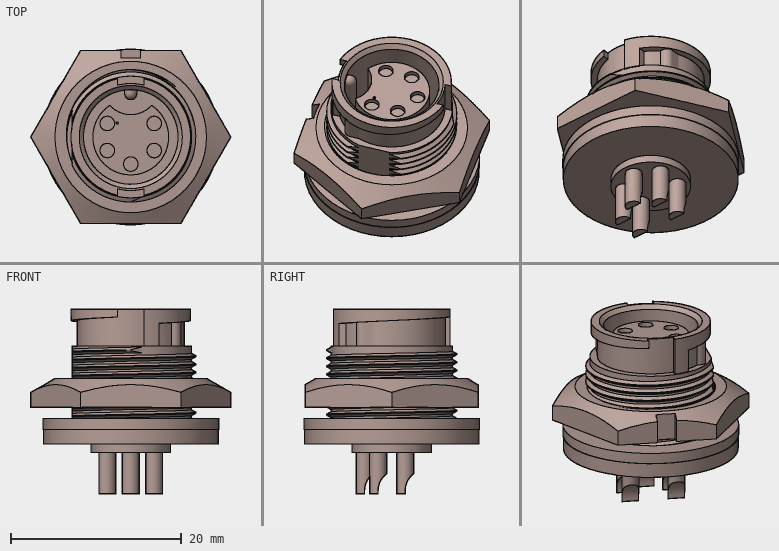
import cadquery as cq
import math


COLLAR_TOP = 12.80
INSERT_TOP = 11.25
THREAD_TOP = 8.46
NUT_TOP = 4.70
NUT_BOTTOM = 1.30
FLANGE_STEP = -1.28
FLANGE_BOTTOM = -3.00
HUB_BOTTOM = -4.00
CONTACT_BOTTOM = -8.84

FLANGE_RADIUS = 10.31
FLANGE_REAR_RADIUS = 10.25
HUB_RADIUS = 4.68

THREAD_PITCH = 0.945
THREAD_ROOT_RADIUS = 7.13
THREAD_CREST_RADIUS = 7.62
THREAD_CREST_WIDTH = THREAD_PITCH / 8
FLANK_SLOPE = math.tan(math.radians(30))
THREAD_END_HEIGHT = 7.99
THREAD_TURNS = 9
RUNOUT_LENGTH = 1.27
SHELL_FLAT_X = -6.87

COLLAR_RADIUS = 7.00
GROOVE_RADIUS = 6.27
ENTRY_HALF_WIDTH = 1.55
GROOVE_END_X = 3.29
RAMP_START_HEIGHT = 11.88
RAMP_END_HEIGHT = 11.12
DETENT_HALF_X = 5.90
DETENT_HALF_Y = 4.10
DETENT_FILLET = 0.82

CAVITY_RADIUS = 5.54
CAVITY_CHAMFER = 0.50
CAVITY_FLOOR = NUT_TOP
INSERT_RADIUS = 4.44
SCOOP_RADIUS = 3.30
SCOOP_CENTRE_Y = 5.92
KEY_RADIUS = 0.71
KEY_CENTRE_Y = 5.08
KEY_DOME_HEIGHT = 11.20

CONTACT_CIRCLE_RADIUS = 3.17
CONTACT_ANGLES = (30, 150, 210, 270, 330)
SOCKET_RADIUS = 0.85
SOCKET_DEPTH = 0.55
TAIL_RADIUS = 1.00
CUP_CUT_RADIUS = 2.50
CUP_CUT_HEIGHT = -8.47
MARK_X = -1.59
MARK_Y = 1.64
MARK_RADIUS = 0.13
MARK_DEPTH = 0.10

NUT_ACROSS_CORNERS = 23.46
NUT_FACE_RADIUS = 8.87
NUT_CHAMFER_ANGLE = 30
NUT_BORE_RADIUS = 7.48
NUT_GROOVE_RADIUS = 7.90
NUT_GROOVE_TIP_WIDTH = 0.02
NUT_NOTCH_WIDTH = 2.28
NUT_NOTCH_DEPTH = 0.90

OVERLAP = 0.10


def cylinder(radius, bottom, top):
    return cq.Workplane("XY").workplane(offset=bottom).circle(radius).extrude(top - bottom)


def block(x_min, x_max, y_min, y_max, z_min, z_max):
    size = (x_max - x_min, y_max - y_min, z_max - z_min)
    return cq.Workplane("XY").box(*size, centered=False).translate((x_min, y_min, z_min))


def helical_sweep(profile, pitch, turns, radius, start_angle, start_height):
    """Sweep a closed (radius, height) profile along a right-handed helix."""
    path = cq.Wire.makeHelix(pitch, pitch * turns, radius)
    swept = cq.Workplane("XZ").polyline(profile).close().sweep(cq.Workplane(path), isFrenet=True)
    return swept.rotate((0, 0, 0), (0, 0, 1), start_angle).translate((0, 0, start_height))


def thread_profile(root_radius, crest_radius, crest_width):
    """Trapezoid with 60 degree flanks that starts just inside the root radius."""
    base_radius = root_radius - OVERLAP
    half_crest = crest_width / 2
    half_base = half_crest + (crest_radius - base_radius) * FLANK_SLOPE
    return [
        (base_radius, -half_base),
        (crest_radius, -half_crest),
        (crest_radius, half_crest),
        (base_radius, half_base),
    ]


def make_thread():
    """Thread ridge, from inside the flange up to a slanted runout on the -Y side."""
    runout_turns = math.asin(RUNOUT_LENGTH / THREAD_ROOT_RADIUS) / (2 * math.pi)
    ridge = helical_sweep(
        thread_profile(THREAD_ROOT_RADIUS, THREAD_CREST_RADIUS, THREAD_CREST_WIDTH),
        THREAD_PITCH, THREAD_TURNS + runout_turns, THREAD_ROOT_RADIUS,
        -90, THREAD_END_HEIGHT - THREAD_TURNS * THREAD_PITCH,
    )
    root_y = -math.sqrt(THREAD_ROOT_RADIUS ** 2 - RUNOUT_LENGTH ** 2)
    runout_cut = (
        cq.Workplane("XY").workplane(offset=THREAD_END_HEIGHT - THREAD_PITCH / 2)
        .moveTo(0, -THREAD_CREST_RADIUS)
        .lineTo(RUNOUT_LENGTH, root_y)
        .lineTo(2 * RUNOUT_LENGTH, -THREAD_CREST_RADIUS)
        .close().extrude(THREAD_PITCH)
    )
    return ridge.cut(runout_cut)


def make_bayonet_cutter():
    """One entry slot on the -Y side and the ramped groove that leads from it round the -X side."""
    outside = COLLAR_RADIUS + OVERLAP
    core = cylinder(GROOVE_RADIUS, THREAD_TOP, COLLAR_TOP)
    collar_ring = cylinder(outside, THREAD_TOP, COLLAR_TOP).cut(core)
    entry = block(-ENTRY_HALF_WIDTH, ENTRY_HALF_WIDTH, -outside, 0, THREAD_TOP, COLLAR_TOP)

    slot_angle = 270
    ramp_start = slot_angle - math.degrees(math.asin(ENTRY_HALF_WIDTH / COLLAR_RADIUS))
    ramp_end = 90 + math.degrees(math.asin(GROOVE_END_X / COLLAR_RADIUS))
    pitch = (RAMP_START_HEIGHT - RAMP_END_HEIGHT) * 360 / (ramp_start - ramp_end)
    first_angle = 90
    turns = (slot_angle - first_angle) / 360
    first_height = RAMP_END_HEIGHT - pitch * (ramp_end - first_angle) / 360
    inner = GROOVE_RADIUS - OVERLAP
    outer = outside + OVERLAP
    depth = COLLAR_TOP - THREAD_TOP
    ramp = helical_sweep(
        [(inner, -depth), (outer, -depth), (outer, 0), (inner, 0)],
        pitch, turns, GROOVE_RADIUS, first_angle, first_height,
    )
    beyond_end = block(-GROOVE_END_X, outer, 0, outer, 0, COLLAR_TOP)
    detent = block(
        -DETENT_HALF_X, 0, 0, DETENT_HALF_Y, THREAD_TOP, COLLAR_TOP,
    ).edges("|Z and <X and >Y").fillet(DETENT_FILLET)
    groove = ramp.cut(beyond_end).cut(detent)
    return collar_ring.intersect(entry.union(groove))


def make_insert():
    """Contact carrier that stands on the cavity floor, with a scoop that clears the key."""
    insert = cylinder(INSERT_RADIUS, CAVITY_FLOOR - OVERLAP, INSERT_TOP)
    scoop = cylinder(SCOOP_RADIUS, CAVITY_FLOOR, INSERT_TOP).translate((0, SCOOP_CENTRE_Y, 0))
    sockets = (
        cq.Workplane("XY").workplane(offset=INSERT_TOP - SOCKET_DEPTH)
        .pushPoints(contact_points()).circle(SOCKET_RADIUS).extrude(SOCKET_DEPTH)
    )
    mark = cylinder(MARK_RADIUS, INSERT_TOP - MARK_DEPTH, INSERT_TOP).translate((MARK_X, MARK_Y, 0))
    return insert.cut(scoop).cut(sockets).cut(mark)


def make_key():
    """Key with a round nose and a domed tip, rooted in the cavity wall."""
    root_y = CAVITY_RADIUS + OVERLAP
    floor = CAVITY_FLOOR - OVERLAP
    nose = cylinder(KEY_RADIUS, floor, KEY_DOME_HEIGHT).translate((0, KEY_CENTRE_Y, 0))
    web = block(-KEY_RADIUS, KEY_RADIUS, KEY_CENTRE_Y, root_y, floor, KEY_DOME_HEIGHT)
    dome = cq.Workplane("XY").sphere(KEY_RADIUS).translate((0, KEY_CENTRE_Y, KEY_DOME_HEIGHT))
    ridge = (
        cq.Workplane("XZ", origin=(0, KEY_CENTRE_Y, KEY_DOME_HEIGHT))
        .circle(KEY_RADIUS).extrude(KEY_CENTRE_Y - root_y)
    )
    return nose.union(web).union(dome).union(ridge)


def contact_points():
    angles = [math.radians(degrees) for degrees in CONTACT_ANGLES]
    return [(CONTACT_CIRCLE_RADIUS * math.cos(a), CONTACT_CIRCLE_RADIUS * math.sin(a)) for a in angles]


def make_contact_tail():
    """Solder tail whose +Y half is cut away at the end by a curved relief."""
    tail = cylinder(TAIL_RADIUS, CONTACT_BOTTOM, HUB_BOTTOM + OVERLAP)
    arc_middle = CUP_CUT_RADIUS * math.sin(math.radians(45))
    relief = (
        cq.Workplane("YZ", origin=(-TAIL_RADIUS, 0, 0)).moveTo(0, CONTACT_BOTTOM)
        .lineTo(0, CUP_CUT_HEIGHT)
        .threePointArc(
            (CUP_CUT_RADIUS - arc_middle, CUP_CUT_HEIGHT + arc_middle),
            (CUP_CUT_RADIUS, CUP_CUT_HEIGHT + CUP_CUT_RADIUS),
        )
        .lineTo(CUP_CUT_RADIUS, CONTACT_BOTTOM)
        .close().extrude(2 * TAIL_RADIUS)
    )
    return tail.cut(relief)


def make_connector():
    threaded = cylinder(THREAD_ROOT_RADIUS, -OVERLAP, THREAD_TOP).union(make_thread())
    flat_cut = block(
        SHELL_FLAT_X - COLLAR_RADIUS, SHELL_FLAT_X, -COLLAR_RADIUS, COLLAR_RADIUS, 0, THREAD_TOP,
    )
    threaded = threaded.cut(flat_cut)

    collar = cylinder(COLLAR_RADIUS, THREAD_TOP, COLLAR_TOP)
    bayonet = make_bayonet_cutter()
    for turn in (0, 180):
        collar = collar.cut(bayonet.rotate((0, 0, 0), (0, 0, 1), turn))

    flange = cylinder(FLANGE_RADIUS, FLANGE_STEP, 0)
    flange_rear = cylinder(FLANGE_REAR_RADIUS, FLANGE_BOTTOM, FLANGE_STEP)
    hub = cylinder(HUB_RADIUS, HUB_BOTTOM, FLANGE_BOTTOM)
    base = flange.union(flange_rear).union(hub)
    tail = make_contact_tail()
    for x, y in contact_points():
        base = base.union(tail.translate((x, y, 0)))

    mouth = cq.Workplane(cq.Solid.makeCone(
        CAVITY_RADIUS, CAVITY_RADIUS + CAVITY_CHAMFER, CAVITY_CHAMFER,
        pnt=cq.Vector(0, 0, COLLAR_TOP - CAVITY_CHAMFER),
    ))
    cavity = cylinder(CAVITY_RADIUS, CAVITY_FLOOR, COLLAR_TOP).union(mouth)
    contents = make_insert().union(make_key())
    return base.union(collar.union(threaded)).cut(cavity).union(contents)


def make_nut():
    across_flats = NUT_ACROSS_CORNERS * math.cos(math.radians(30))
    corner_radius = NUT_ACROSS_CORNERS / 2
    height = NUT_TOP - NUT_BOTTOM
    nut = cq.Workplane("XY").workplane(offset=NUT_BOTTOM).polygon(6, NUT_ACROSS_CORNERS).extrude(height)

    chamfer_radius = corner_radius + OVERLAP
    chamfer_drop = (chamfer_radius - NUT_FACE_RADIUS) * math.tan(math.radians(NUT_CHAMFER_ANGLE))
    envelope = (
        cq.Workplane("XZ").moveTo(0, NUT_BOTTOM)
        .lineTo(chamfer_radius, NUT_BOTTOM)
        .lineTo(chamfer_radius, NUT_TOP - chamfer_drop)
        .lineTo(NUT_FACE_RADIUS, NUT_TOP)
        .lineTo(0, NUT_TOP)
        .close().revolve(360, (0, 0, 0), (0, 1, 0))
    )

    turns_below = math.ceil((THREAD_END_HEIGHT - NUT_BOTTOM) / THREAD_PITCH) + 1
    groove_turns = math.ceil(height / THREAD_PITCH) + 2
    groove = helical_sweep(
        thread_profile(NUT_BORE_RADIUS, NUT_GROOVE_RADIUS, NUT_GROOVE_TIP_WIDTH),
        THREAD_PITCH, groove_turns, NUT_BORE_RADIUS,
        -90, THREAD_END_HEIGHT - turns_below * THREAD_PITCH,
    )
    tap = cylinder(NUT_BORE_RADIUS, 0, NUT_TOP + THREAD_PITCH).union(groove)
    notch = block(
        -NUT_NOTCH_WIDTH / 2, NUT_NOTCH_WIDTH / 2,
        across_flats / 2 - NUT_NOTCH_DEPTH, across_flats / 2, NUT_BOTTOM, NUT_TOP,
    )
    return nut.intersect(envelope).cut(tap).cut(notch)


connector = make_connector()
nut = make_nut()
result = cq.Compound.makeCompound([connector.val(), nut.val()])